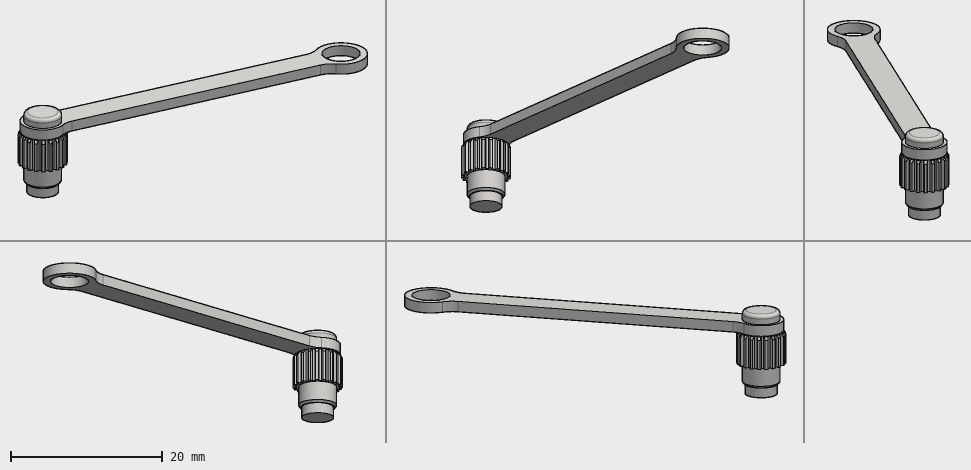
import cadquery as cq
import math

tip_radius = 2.1
shoulder_radius = 2.3
body_radius = 5.0 / 2
grip_radius = 2.85
neck_radius = 1.8
shoulder_bottom = 1.4
body_bottom = 1.7
grip_bottom = 4.25
grip_top = 8.65
plug_top = 11.5
cap_fillet = 0.5

tooth_count = 20
tooth_tip_radius = 3.25
tooth_root_width = 0.55
tooth_tip_width = 0.35
bevel_depth = 0.25
bevel_height = 0.4

strap_bottom = 8.75
strap_thickness = 1.45
strap_width = 3.95
blend_radius = 3.0
hub_radius = 3.0
ring_radius = 7.0 / 2
ring_hole_radius = 5.0 / 2
ring_center_y = 45.0
ring_offset_x = -0.05

strap_top = strap_bottom + strap_thickness


def make_plug():
    """Revolve the stepped profile and round the rim of the cap."""
    profile = [
        (0, 0),
        (tip_radius, 0),
        (tip_radius, shoulder_bottom),
        (shoulder_radius, shoulder_bottom),
        (body_radius, body_bottom),
        (body_radius, grip_bottom),
        (grip_radius, grip_bottom),
        (grip_radius, grip_top),
        (neck_radius, grip_top),
        (neck_radius, strap_top),
        (body_radius, strap_top),
        (body_radius, plug_top),
        (0, plug_top),
    ]
    plug = cq.Workplane("XZ").polyline(profile).close().revolve(360, (0, 0), (0, 1))
    return plug.faces(">Z").edges().fillet(cap_fillet)


def make_teeth():
    """Ring of tapered ribs, starting half a pitch off the X axis, with bevelled upper ends."""
    pitch = 360 / tooth_count
    half_root = tooth_root_width / 2
    half_tip = tooth_tip_width / 2
    section = [
        (body_radius, -half_root),
        (grip_radius, -half_root),
        (tooth_tip_radius, -half_tip),
        (tooth_tip_radius, half_tip),
        (grip_radius, half_root),
        (body_radius, half_root),
    ]
    tooth = (
        cq.Workplane("XY", origin=(0, 0, grip_bottom))
        .polyline(section)
        .close()
        .extrude(grip_top - grip_bottom)
    )
    teeth = cq.Workplane("XY")
    for index in range(tooth_count):
        angle = (index + 0.5) * pitch
        teeth = teeth.add(tooth.rotate((0, 0, 0), (0, 0, 1), angle))
    bevel_radius = tooth_tip_radius - bevel_depth
    envelope_profile = [
        (0, grip_bottom),
        (tooth_tip_radius, grip_bottom),
        (tooth_tip_radius, grip_top - bevel_height),
        (bevel_radius, grip_top),
        (0, grip_top),
    ]
    envelope = cq.Workplane("XZ").polyline(envelope_profile).close().revolve(360, (0, 0), (0, 1))
    return teeth.combine().intersect(envelope)


def blend_points(end_radius):
    """Tangent points of the blend arc, and its midpoint, for a round end at the origin.

    The bar leaves the end along +Y; the points lie on the +X side.
    """
    center_x = strap_width / 2 + blend_radius
    center_distance = end_radius + blend_radius
    center_y = math.sqrt(center_distance**2 - center_x**2)
    angle = math.atan2(center_y, center_x)
    on_end = (end_radius * math.cos(angle), end_radius * math.sin(angle))
    middle = (
        center_x - blend_radius * math.cos(angle / 2),
        center_y - blend_radius * math.sin(angle / 2),
    )
    on_bar = (strap_width / 2, center_y)
    return on_end, middle, on_bar


def make_strap():
    """Bar with round ends, each blended into the bar by tangent arcs."""
    hub_end, hub_middle, hub_bar = blend_points(hub_radius)
    ring_end, ring_middle, ring_bar = [
        (x, ring_center_y - y) for x, y in blend_points(ring_radius)
    ]

    def mirrored(point):
        return (-point[0], point[1])

    outline = (
        cq.Workplane("XY", origin=(0, 0, strap_bottom))
        .moveTo(*hub_end)
        .threePointArc(hub_middle, hub_bar)
        .lineTo(*ring_bar)
        .threePointArc(ring_middle, ring_end)
        .threePointArc((0, ring_center_y + ring_radius), mirrored(ring_end))
        .threePointArc(mirrored(ring_middle), mirrored(ring_bar))
        .lineTo(*mirrored(hub_bar))
        .threePointArc(mirrored(hub_middle), mirrored(hub_end))
        .threePointArc((0, -hub_radius), hub_end)
        .close()
    )
    strap = outline.extrude(strap_thickness)
    hole = (
        cq.Workplane("XY", origin=(0, ring_center_y, strap_bottom))
        .circle(ring_hole_radius)
        .extrude(strap_thickness)
    )
    swing = math.degrees(math.atan2(-ring_offset_x, ring_center_y))
    return strap.cut(hole).rotate((0, 0, 0), (0, 0, 1), swing)


result = make_plug().union(make_teeth()).union(make_strap())